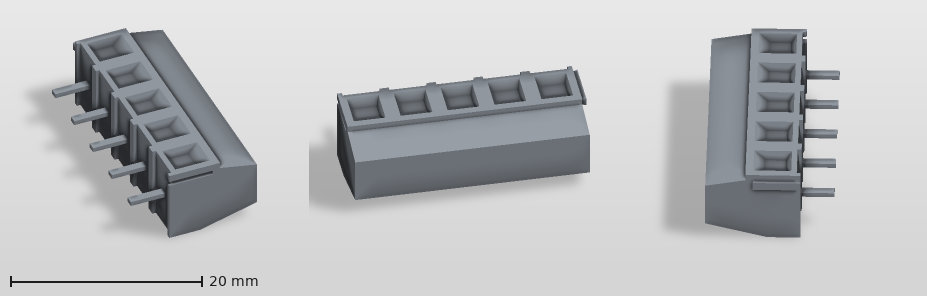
import cadquery as cq


pole_count = 5
housing_length = 25.0
pitch = housing_length / pole_count
housing_depth = 9.98
housing_height = 8.2
top_flat_depth = 5.79
top_step_height = 0.7
back_top_drop = 1.5
back_bottom_rise = 1.7
bottom_flat_depth = 3.48

rib_width = 1.0
rib_depth = 0.4

funnel_depth = 1.0
funnel_front_offset = 1.0
funnel_top_width = 3.38
funnel_top_length = 3.97
funnel_floor_width = 2.76
funnel_floor_length = 2.18
funnel_floor_offset = 0.61

pin_width = 0.9
pin_thickness = 0.5
pin_length = 3.5

dovetail_height = 0.6
dovetail_outer_width = 0.9
dovetail_neck_width = 0.5
dovetail_length = 5.0
dovetail_top_drop = 0.6
dovetail_center_z = housing_height - dovetail_top_drop - dovetail_outer_width / 2

pole_centers = [(i + 0.5) * pitch for i in range(pole_count)]


def make_housing():
    """Side profile in the YZ plane, extruded along the row of poles."""
    profile = [
        (0, 0),
        (bottom_flat_depth, 0),
        (housing_depth, back_bottom_rise),
        (housing_depth, housing_height - back_top_drop),
        (top_flat_depth, housing_height - top_step_height),
        (top_flat_depth, housing_height),
        (0, housing_height),
    ]
    return cq.Workplane("YZ").polyline(profile).close().extrude(housing_length)


def make_front_recess(center_x):
    """Full-height shallow recess between two ribs."""
    return (
        cq.Workplane("XY")
        .box(pitch - rib_width, rib_depth, housing_height, centered=(True, False, False))
        .translate((center_x, 0, 0))
    )


def make_funnel(center_x):
    """Rectangular pocket tapering to a smaller floor that sits nearer the front."""
    top_center_y = funnel_front_offset + funnel_top_length / 2
    floor_center_y = funnel_front_offset + funnel_floor_offset + funnel_floor_length / 2
    return (
        cq.Workplane("XY", origin=(center_x, 0, housing_height - funnel_depth))
        .center(0, floor_center_y)
        .rect(funnel_floor_width, funnel_floor_length)
        .workplane(offset=funnel_depth)
        .center(0, top_center_y - floor_center_y)
        .rect(funnel_top_width, funnel_top_length)
        .loft(ruled=True)
    )


def make_pin(center_x):
    """Rectangular pin rooted in the recessed panel, at mid height."""
    return (
        cq.Workplane("XY")
        .box(pin_width, pin_length + rib_depth, pin_thickness, centered=(True, False, True))
        .translate((center_x, -pin_length, housing_height / 2))
    )


def make_dovetail(neck_x):
    """Dovetail bar that widens toward -X from its neck and runs back from the front."""
    wide_x = neck_x - dovetail_height
    profile = [
        (neck_x, dovetail_center_z - dovetail_neck_width / 2),
        (neck_x, dovetail_center_z + dovetail_neck_width / 2),
        (wide_x, dovetail_center_z + dovetail_outer_width / 2),
        (wide_x, dovetail_center_z - dovetail_outer_width / 2),
    ]
    return cq.Workplane("XZ").polyline(profile).close().extrude(-dovetail_length)


result = make_housing()
for pole_x in pole_centers:
    result = result.cut(make_front_recess(pole_x))
    result = result.cut(make_funnel(pole_x))
    result = result.union(make_pin(pole_x))

result = result.union(make_dovetail(0))
result = result.cut(make_dovetail(housing_length))